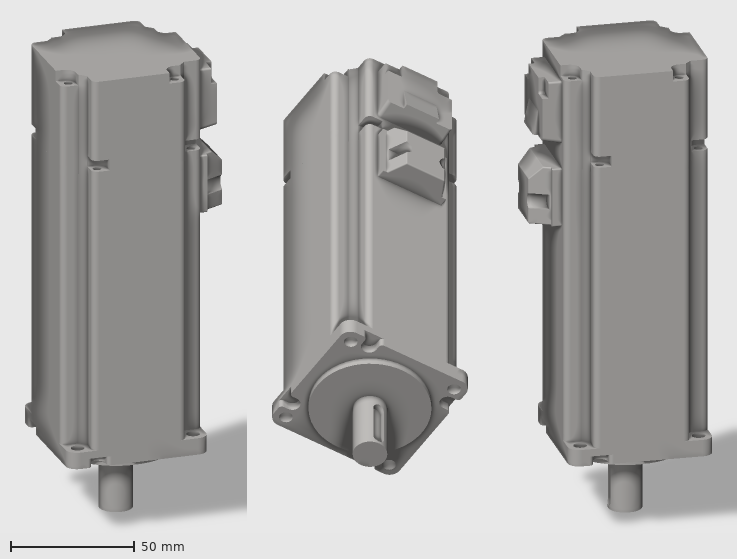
import cadquery as cq
import math


TOLERANCE = 0.2

TOTAL_HEIGHT = 198.0
BOSS_BOTTOM = 27.1
FLANGE_BOTTOM = 30.3
EAR_TOP = 37.5
STATOR_BOTTOM = 40.4
PLATE_BOTTOM = 154.8
COVER_BOTTOM = 158.8

BODY_WIDTH = 60.2
HALF = BODY_WIDTH / 2
NOTCH = 10.0
INNER_CHAMFER = 2.5
RIB_RADIUS = 2.5
STATOR_INNER_RADIUS = 1.2

EAR_RADIUS = 4.8
MOUNT_OFFSET = 24.8
MOUNT_HOLE_DIAMETER = 5.5
BOSS_DIAMETER = 49.9
SHAFT_DIAMETER = 14.0
KEYWAY_WIDTH = 5.0
KEYWAY_DEPTH = 3.0
KEYWAY_BOTTOM = 1.2
KEYWAY_TOP = 23.0

COVER_SCREW_ALONG = 16.5
COVER_SCREW_OUT = 26.0
PLATE_SCREW_ALONG = 17.0
PLATE_SCREW_OUT = 26.5
SCREW_HOLE_DIAMETER = 3.5
THREAD_HOLE_DIAMETER = 2.4
SCREW_POCKET_SIZE = 7.1
SCREW_POCKET_RADIUS = 4.2
TOP_POCKET_DEPTH = 4.5
LOW_POCKET_HEIGHT = 4.8
NUT_POCKET_RADIUS = 3.4
NUT_POCKET_MOUTH_RADIUS = 1.5
NUT_POCKET_HEIGHT = 4.0

UPPER_WIDTH = 30.7
UPPER_TOP = 191.9
UPPER_FACE_Y = 38.2
UPPER_EDGE_RADIUS = 0.8
UPPER_LOWER_EDGE_RADIUS = 1.5
UPPER_SLOPE = math.tan(math.radians(12))
UPPER_BOTTOM = 165.0
LATCH_SIZE = 7.0
LATCH_DEPTH = 2.5
LATCH_RADIUS = 1.2
PLUG_WIDTH = 15.5
PLUG_TIP_Y = 40.4

LOWER_WIDTH = 30.7
LOWER_BOTTOM = 129.3
LOWER_TOP = 154.2
LOWER_EDGE_RADIUS = 0.5
BASE_FACE_Y = 34.0
HOOD_FACE_Y = 42.5
HOOD_ROOT_WIDTH = 26.5
HOOD_FACE_WIDTH = 18.2
HOOD_EDGE_RADIUS = 0.5
HOOD_CHAMFER = 5.5
HOOD_SLOT_DIAMETER = 6.5
HOOD_SLOT_Z = 139.2
HOOD_SLOT_X = 9.9
HOOD_SLOT_FLOOR = 0.5


def block(x_range, y_range, z_range):
    """A plain box given by its limits along each axis."""
    size = [high - low for low, high in (x_range, y_range, z_range)]
    corner = (x_range[0], y_range[0], z_range[0])
    return cq.Workplane("XY").box(*size, centered=False).translate(corner)


def cylinder(diameter, bottom, top, x=0.0, y=0.0):
    """An upright cylinder between two heights."""
    return cq.Workplane("XY", origin=(x, y, bottom)).circle(diameter / 2).extrude(top - bottom)


def around(shape, mirrored=False):
    """Four copies of a cutter, a quarter turn apart about the shaft axis, as given or mirrored left to right."""
    first = shape.mirror("YZ") if mirrored else shape
    copies = first
    for quarter in range(1, 4):
        copies = copies.union(first.rotate((0, 0, 0), (0, 0, 1), 90 * quarter))
    return copies


def quarter_turns(x, y):
    """A point and its copies at each quarter turn, counterclockwise."""
    return [(x, y), (-y, x), (-x, -y), (y, -x)]


def notched_prism(bottom, top, inner_radius=0.0):
    """A square prism with a notch in each corner, chamfered inside, and rounded ribs."""
    wall = HALF - NOTCH
    chamfer_start = wall + INNER_CHAMFER
    corner = [(HALF, wall), (chamfer_start, wall), (wall, chamfer_start), (wall, HALF)]
    turns = [quarter_turns(x, y) for x, y in corner]
    outline = [turns[point][quarter] for quarter in range(4) for point in range(4)]
    prism = cq.Workplane("XY", origin=(0, 0, bottom)).polyline(outline).close().extrude(top - bottom)

    def is_rib_edge(edge):
        return max(abs(edge.Center().x), abs(edge.Center().y)) > HALF - TOLERANCE

    prism = prism.edges("|Z").filter(is_rib_edge).fillet(RIB_RADIUS)
    if inner_radius:
        def is_inner_edge(edge):
            return max(abs(edge.Center().x), abs(edge.Center().y)) < chamfer_start + TOLERANCE

        prism = prism.edges("|Z").filter(is_inner_edge).fillet(inner_radius)
    return prism


def screw_pocket(bottom, top):
    """A pocket around one screw, open to the rib face and to the corner notch."""
    notch_wall = HALF - NOTCH
    pocket = block((notch_wall - SCREW_POCKET_SIZE, HALF), (HALF - SCREW_POCKET_SIZE, HALF), (bottom, top))
    return pocket.edges("|Z and <X and <Y").fillet(SCREW_POCKET_RADIUS)


def make_shaft():
    """Motor shaft with a round-ended keyway, reaching up to the bottom of the boss."""
    shaft = cylinder(SHAFT_DIAMETER, 0, BOSS_BOTTOM)
    keyway = (
        cq.Workplane("XZ", origin=(0, SHAFT_DIAMETER / 2, (KEYWAY_BOTTOM + KEYWAY_TOP) / 2))
        .slot2D(KEYWAY_TOP - KEYWAY_BOTTOM, KEYWAY_WIDTH, 90)
        .extrude(KEYWAY_DEPTH)
    )
    return shaft.cut(keyway)


def make_nut_pocket():
    """A round-ended slot in the flange rim, open downwards, with a rounded mouth."""
    rim = HALF - PLATE_SCREW_OUT
    radius = NUT_POCKET_RADIUS
    mouth = NUT_POCKET_MOUTH_RADIUS
    return (
        cq.Workplane("XY", origin=(PLATE_SCREW_ALONG, PLATE_SCREW_OUT, FLANGE_BOTTOM))
        .moveTo(-radius, 0)
        .lineTo(-radius, rim - mouth)
        .radiusArc((-radius - mouth, rim), -mouth)
        .lineTo(radius + mouth, rim)
        .radiusArc((radius, rim - mouth), -mouth)
        .lineTo(radius, 0)
        .threePointArc((0, -radius), (-radius, 0))
        .close()
        .extrude(NUT_POCKET_HEIGHT)
    )


def make_flange():
    """Square mounting flange with a centring boss below and a notched neck above."""
    plate = block((-HALF, HALF), (-HALF, HALF), (FLANGE_BOTTOM, EAR_TOP)).edges("|Z").fillet(EAR_RADIUS)
    boss = cylinder(BOSS_DIAMETER, BOSS_BOTTOM, FLANGE_BOTTOM)
    neck = notched_prism(EAR_TOP, STATOR_BOTTOM, STATOR_INNER_RADIUS)
    flange = plate.union(boss).union(neck)
    hole = cylinder(MOUNT_HOLE_DIAMETER, FLANGE_BOTTOM, EAR_TOP, MOUNT_OFFSET, MOUNT_OFFSET)
    return flange.cut(around(hole)).cut(around(make_nut_pocket()))


def make_stator():
    """Plain stator housing with the notched section."""
    return notched_prism(STATOR_BOTTOM, PLATE_BOTTOM, STATOR_INNER_RADIUS)


def make_plate():
    """Thin plate between stator and cover, drilled for both sets of screws."""
    plate = notched_prism(PLATE_BOTTOM, COVER_BOTTOM)
    span = (PLATE_BOTTOM, COVER_BOTTOM)
    cover_hole = cylinder(THREAD_HOLE_DIAMETER, *span, COVER_SCREW_ALONG, COVER_SCREW_OUT)
    plate_hole = cylinder(SCREW_HOLE_DIAMETER, *span, PLATE_SCREW_ALONG, PLATE_SCREW_OUT)
    return plate.cut(around(cover_hole, mirrored=True)).cut(around(plate_hole))


def make_cover():
    """Rear cover with screw holes at the top and pockets over the plate screws below."""
    cover = notched_prism(COVER_BOTTOM, TOTAL_HEIGHT)
    top_pocket = screw_pocket(TOTAL_HEIGHT - TOP_POCKET_DEPTH, TOTAL_HEIGHT)
    low_pocket = screw_pocket(COVER_BOTTOM, COVER_BOTTOM + LOW_POCKET_HEIGHT)
    hole = cylinder(SCREW_HOLE_DIAMETER, COVER_BOTTOM, TOTAL_HEIGHT, COVER_SCREW_ALONG, COVER_SCREW_OUT)
    return cover.cut(around(top_pocket.union(hole), mirrored=True)).cut(around(low_pocket))


def make_upper_connector():
    """Connector box with a tilted underside and a latch recess in each upper outer corner."""
    half_width = UPPER_WIDTH / 2
    underside_rise = (UPPER_FACE_Y - HALF) * UPPER_SLOPE
    box = (
        cq.Workplane("YZ", origin=(-half_width, 0, 0))
        .moveTo(HALF, UPPER_BOTTOM)
        .lineTo(UPPER_FACE_Y, UPPER_BOTTOM + underside_rise)
        .lineTo(UPPER_FACE_Y, UPPER_TOP)
        .lineTo(HALF, UPPER_TOP)
        .close()
        .extrude(UPPER_WIDTH)
    )
    middle = (UPPER_BOTTOM + UPPER_TOP) / 2

    def runs_outward(edge):
        on_side = abs(abs(edge.Center().x) - half_width) < TOLERANCE
        return on_side and HALF + TOLERANCE < edge.Center().y < UPPER_FACE_Y - TOLERANCE

    def is_upper(edge):
        return runs_outward(edge) and edge.Center().z > middle

    def is_lower(edge):
        return runs_outward(edge) and edge.Center().z < middle

    box = box.edges().filter(is_upper).fillet(UPPER_EDGE_RADIUS)
    box = box.edges().filter(is_lower).fillet(UPPER_LOWER_EDGE_RADIUS)
    latch = block(
        (half_width - LATCH_SIZE, half_width),
        (UPPER_FACE_Y - LATCH_DEPTH, UPPER_FACE_Y),
        (UPPER_TOP - LATCH_SIZE, UPPER_TOP),
    )
    latch = latch.edges("|Y and <X and <Z").fillet(LATCH_RADIUS)
    return box.cut(latch).cut(latch.mirror("YZ"))


def make_plug():
    """Wedge on the face of the upper connector, square to its tilted underside."""
    root_z = UPPER_BOTTOM + (UPPER_FACE_Y - HALF) * UPPER_SLOPE
    reach = PLUG_TIP_Y - UPPER_FACE_Y
    tip_z = root_z + reach * UPPER_SLOPE
    return (
        cq.Workplane("YZ", origin=(-PLUG_WIDTH / 2, 0, 0))
        .moveTo(UPPER_FACE_Y, root_z)
        .lineTo(PLUG_TIP_Y, tip_z)
        .lineTo(UPPER_FACE_Y, tip_z + reach / UPPER_SLOPE)
        .close()
        .extrude(PLUG_WIDTH)
    )


def make_lower_base():
    """Block that carries the hood, with its outward-running edges rounded."""
    base = block((-LOWER_WIDTH / 2, LOWER_WIDTH / 2), (HALF, BASE_FACE_Y), (LOWER_BOTTOM, LOWER_TOP))
    return base.edges("|Y").fillet(LOWER_EDGE_RADIUS)


def make_hood():
    """Tapered hood with a chamfered top and a screw slot in each side."""
    root = HOOD_ROOT_WIDTH / 2
    face = HOOD_FACE_WIDTH / 2
    hood = (
        cq.Workplane("XY", origin=(0, 0, LOWER_BOTTOM))
        .polyline([(-root, BASE_FACE_Y), (root, BASE_FACE_Y), (face, HOOD_FACE_Y), (-face, HOOD_FACE_Y)])
        .close()
        .extrude(LOWER_TOP - LOWER_BOTTOM)
        .edges(">Y and >Z")
        .chamfer(HOOD_CHAMFER)
    )

    def is_outer_edge(edge):
        return edge.Center().y > BASE_FACE_Y + TOLERANCE

    hood = hood.edges().filter(is_outer_edge).fillet(HOOD_EDGE_RADIUS)
    floor_y = BASE_FACE_Y + HOOD_SLOT_FLOOR
    slot_half = HOOD_SLOT_DIAMETER / 2
    slot_z = (HOOD_SLOT_Z - slot_half, HOOD_SLOT_Z + slot_half)
    slot = block((HOOD_SLOT_X, root), (floor_y, HOOD_FACE_Y), slot_z)
    slot_end = (
        cq.Workplane("XZ", origin=(HOOD_SLOT_X, HOOD_FACE_Y, HOOD_SLOT_Z))
        .circle(slot_half)
        .extrude(HOOD_FACE_Y - floor_y)
    )
    slot = slot.union(slot_end)
    return hood.cut(slot).cut(slot.mirror("YZ"))


bodies = [
    make_shaft(),
    make_flange(),
    make_stator(),
    make_plate(),
    make_cover(),
    make_upper_connector(),
    make_plug(),
    make_lower_base(),
    make_hood(),
]
result = cq.Compound.makeCompound([body.val() for body in bodies])